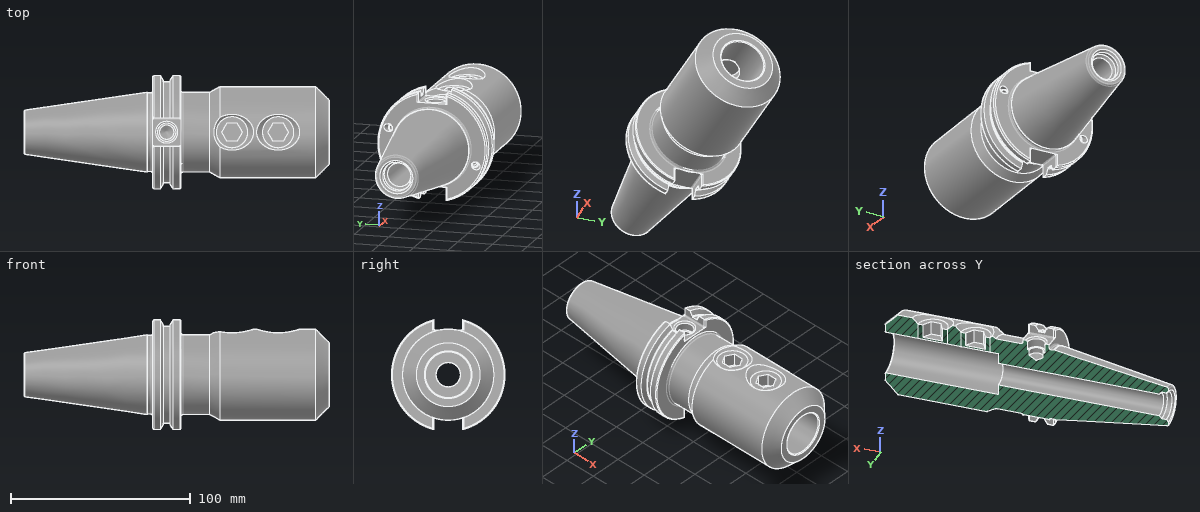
import cadquery as cq
import math

LENGTH = 169.8

GAUGE_DIAMETER = 44.5
TAPER_RATE = 7 / 24
TAPER_END_X = 68.3
SMALL_END_DIAMETER = GAUGE_DIAMETER - TAPER_RATE * TAPER_END_X
SMALL_END_ROUND = 1.0
RELIEF_DIAMETER = 44.0
RELIEF_START_X = 68.8

FLANGE_DIAMETER = 63.2
FLANGE_START_X = 71.3
FLANGE_WIDTH = 16.0
FLANGE_END_X = FLANGE_START_X + FLANGE_WIDTH
FLANGE_CENTRE_X = FLANGE_START_X + FLANGE_WIDTH / 2
FLANGE_FRONT_CHAMFER = 0.8
FLANGE_BACK_CHAMFER = 0.5
GROOVE_DIAMETER = 56.4
GROOVE_WALL = 0.7
GROOVE_MOUTH_WIDTH = 7.1
GROOVE_FLOOR_WIDTH = 3.5
FRONT_ROOT_FILLET = 0.7
BACK_ROOT_FILLET = 1.0

SLOT_WIDTH = 16.0
TOP_SLOT_FLOOR = 25.0
BOTTOM_SLOT_FLOOR = 22.8
SLOT_CORNER_FILLET = 0.5
SLOT_EDGE_CHAMFER = 0.7

KEY_HOLE_DIAMETER = 10.2
KEY_HOLE_DEPTH = 5.8
KEY_MOUTH_DIAMETER = 12.2
KEY_MOUTH_DEPTH = 0.8
KEY_DRILL_DIAMETER = 8.0
KEY_DRILL_DEPTH = 3.4
KEY_DRILL_POINT_ANGLE = 118.0

NECK_DIAMETER = 44.5
NECK_END_X = 103.3
NOSE_DIAMETER = 50.8
NOSE_START_X = 108.9
NOSE_CHAMFER = 7.6

THREAD_BORE_DIAMETER = 13.5
PILOT_DIAMETER = 16.5
PILOT_MOUTH_DIAMETER = 19.0
PILOT_END_X = 4.0
TOOL_BORE_DIAMETER = 25.5
TOOL_BORE_MOUTH_DIAMETER = 26.5
TOOL_BORE_START_X = 101.9

CLAMP_DIAMETER = 17.3
CLAMP_TOP_Z = 22.0
CLAMP_BOTTOM_Z = TOOL_BORE_DIAMETER / 2
FIRST_CLAMP_X = 115.7
CLAMP_SPACING = 25.6
CLAMP_XS = [FIRST_CLAMP_X, FIRST_CLAMP_X + CLAMP_SPACING]
CLAMP_HEX_FLATS = 10.0
CLAMP_HEX_DEPTH = 7.8
COUNTERSINK_HEIGHT = 5.1

PLUG_DIAMETER = 4.2
PLUG_LENGTH = 5.1
PLUG_RECESS = 2.5
PLUG_SOCKET_DIAMETER = 3.2
PLUG_SOCKET_DEPTH = 2.5
PLUG_CIRCLE_RADIUS = 27.0
PLUG_SLANT = 30.0
PLUG_ANGLES = [20.0, 200.0]


def cone(base_radius, top_radius, height, base, direction):
    """A truncated cone from its base centre along a direction."""
    return cq.Workplane(cq.Solid.makeCone(base_radius, top_radius, height, base, direction))


def cylinder(radius, height, base, direction):
    """A cylinder from its base centre along a direction."""
    return cq.Workplane(cq.Solid.makeCylinder(radius, height, base, direction))


def make_turned_body():
    """The solid of revolution: taper, flange, neck and nose."""
    relief_radius = RELIEF_DIAMETER / 2
    flange_radius = FLANGE_DIAMETER / 2
    groove_radius = GROOVE_DIAMETER / 2
    groove_knee_radius = groove_radius + GROOVE_WALL
    mouth_half = GROOVE_MOUTH_WIDTH / 2
    floor_half = GROOVE_FLOOR_WIDTH / 2
    neck_radius = NECK_DIAMETER / 2
    nose_radius = NOSE_DIAMETER / 2
    body = (
        cq.Workplane("XY")
        .moveTo(0, 0)
        .lineTo(0, SMALL_END_DIAMETER / 2)
        .lineTo(TAPER_END_X, GAUGE_DIAMETER / 2)
        .lineTo(RELIEF_START_X, relief_radius)
        .lineTo(FLANGE_START_X - FRONT_ROOT_FILLET, relief_radius)
        .radiusArc((FLANGE_START_X, relief_radius + FRONT_ROOT_FILLET), -FRONT_ROOT_FILLET)
        .lineTo(FLANGE_START_X, flange_radius - FLANGE_FRONT_CHAMFER)
        .lineTo(FLANGE_START_X + FLANGE_FRONT_CHAMFER, flange_radius)
        .lineTo(FLANGE_CENTRE_X - mouth_half, flange_radius)
        .lineTo(FLANGE_CENTRE_X - floor_half, groove_knee_radius)
        .lineTo(FLANGE_CENTRE_X - floor_half, groove_radius)
        .lineTo(FLANGE_CENTRE_X + floor_half, groove_radius)
        .lineTo(FLANGE_CENTRE_X + floor_half, groove_knee_radius)
        .lineTo(FLANGE_CENTRE_X + mouth_half, flange_radius)
        .lineTo(FLANGE_END_X - FLANGE_BACK_CHAMFER, flange_radius)
        .lineTo(FLANGE_END_X, flange_radius - FLANGE_BACK_CHAMFER)
        .lineTo(FLANGE_END_X, neck_radius + BACK_ROOT_FILLET)
        .radiusArc((FLANGE_END_X + BACK_ROOT_FILLET, neck_radius), -BACK_ROOT_FILLET)
        .lineTo(NECK_END_X, neck_radius)
        .lineTo(NOSE_START_X, nose_radius)
        .lineTo(LENGTH - NOSE_CHAMFER, nose_radius)
        .lineTo(LENGTH, nose_radius - NOSE_CHAMFER)
        .lineTo(LENGTH, 0)
        .close()
        .revolve(360, (0, 0, 0), (1, 0, 0))
    )
    return body.faces("<X").edges().fillet(SMALL_END_ROUND)


def make_axial_bore():
    """The stepped bore through the whole length."""
    thread_radius = THREAD_BORE_DIAMETER / 2
    pilot_radius = PILOT_DIAMETER / 2
    pilot_mouth_radius = PILOT_MOUTH_DIAMETER / 2
    tool_radius = TOOL_BORE_DIAMETER / 2
    tool_mouth_radius = TOOL_BORE_MOUTH_DIAMETER / 2
    return (
        cq.Workplane("XY")
        .moveTo(0, 0)
        .lineTo(0, pilot_mouth_radius)
        .lineTo(pilot_mouth_radius - pilot_radius, pilot_radius)
        .lineTo(PILOT_END_X, pilot_radius)
        .lineTo(PILOT_END_X + pilot_radius - thread_radius, thread_radius)
        .lineTo(TOOL_BORE_START_X, thread_radius)
        .lineTo(TOOL_BORE_START_X, tool_radius)
        .lineTo(LENGTH - tool_mouth_radius + tool_radius, tool_radius)
        .lineTo(LENGTH, tool_mouth_radius)
        .lineTo(LENGTH, 0)
        .close()
        .revolve(360, (0, 0, 0), (1, 0, 0))
    )


def make_drive_slot(floor, side):
    """The space of one drive slot; side is +1 for +Z and -1 for -Z."""
    height = FLANGE_DIAMETER / 2 - floor
    middle_z = side * (floor + height / 2)
    floor_face = "<Z" if side > 0 else ">Z"
    slot = cq.Workplane("XY").box(FLANGE_WIDTH, SLOT_WIDTH, height)
    slot = slot.faces(floor_face).edges("|X").fillet(SLOT_CORNER_FILLET)
    slot = slot.translate((FLANGE_CENTRE_X, 0, middle_z))
    half_width = SLOT_WIDTH / 2
    for face_x, inward in [(FLANGE_START_X, 1), (FLANGE_END_X, -1)]:
        flare_end_x = face_x + inward * SLOT_EDGE_CHAMFER
        flare = (
            cq.Workplane("XY", origin=(0, 0, middle_z - height / 2))
            .moveTo(face_x, -half_width - SLOT_EDGE_CHAMFER)
            .lineTo(face_x, half_width + SLOT_EDGE_CHAMFER)
            .lineTo(flare_end_x, half_width)
            .lineTo(flare_end_x, -half_width)
            .close()
            .extrude(height)
        )
        slot = slot.union(flare)
    return slot


def make_key_hole():
    """The chamfered, stepped hole with a drill point in the top slot floor."""
    radius = KEY_HOLE_DIAMETER / 2
    drill_radius = KEY_DRILL_DIAMETER / 2
    step_z = TOP_SLOT_FLOOR - KEY_HOLE_DEPTH
    drill_end_z = step_z - KEY_DRILL_DEPTH
    point_height = drill_radius / math.tan(math.radians(KEY_DRILL_POINT_ANGLE / 2))
    profile = (
        cq.Workplane("XZ", origin=(FLANGE_CENTRE_X, 0, 0))
        .moveTo(0, TOP_SLOT_FLOOR)
        .lineTo(KEY_MOUTH_DIAMETER / 2, TOP_SLOT_FLOOR)
        .lineTo(radius, TOP_SLOT_FLOOR - KEY_MOUTH_DEPTH)
        .lineTo(radius, step_z)
        .lineTo(drill_radius, step_z)
        .lineTo(drill_radius, drill_end_z)
        .lineTo(0, drill_end_z - point_height)
        .close()
    )
    return profile.revolve(360, (0, 0, 0), (0, 1, 0))


def make_clamp_hole(x):
    """One clamping-screw hole: 45 degree countersink over a plain hole into the bore."""
    radius = CLAMP_DIAMETER / 2
    up = cq.Vector(0, 0, 1)
    hole = cylinder(radius, CLAMP_TOP_Z, cq.Vector(x, 0, 0), up)
    countersink = cone(radius, radius + COUNTERSINK_HEIGHT, COUNTERSINK_HEIGHT,
                       cq.Vector(x, 0, CLAMP_TOP_Z), up)
    return hole.union(countersink)


def make_clamp_screw(x):
    """One headless clamping screw with a hexagon socket."""
    screw = cylinder(CLAMP_DIAMETER / 2, CLAMP_TOP_Z - CLAMP_BOTTOM_Z,
                     cq.Vector(x, 0, CLAMP_BOTTOM_Z), cq.Vector(0, 0, 1))
    hex_corners = CLAMP_HEX_FLATS / math.cos(math.radians(30))
    socket = (
        cq.Workplane("XY", origin=(x, 0, CLAMP_TOP_Z))
        .polygon(6, hex_corners)
        .extrude(-CLAMP_HEX_DEPTH)
    )
    return screw.cut(socket)


def plug_mouth(angle):
    """Where the axis of a plug hole meets the front face of the flange."""
    turn = math.radians(angle)
    return cq.Vector(FLANGE_START_X, PLUG_CIRCLE_RADIUS * math.cos(turn), PLUG_CIRCLE_RADIUS * math.sin(turn))


def plug_direction(angle):
    """The direction of a plug hole, into the flange and towards the X axis."""
    turn = math.radians(angle)
    slant = math.radians(PLUG_SLANT)
    inward = math.sin(slant)
    return cq.Vector(math.cos(slant), -inward * math.cos(turn), -inward * math.sin(turn))


def make_plug_hole(angle):
    """One slanted blind hole; it starts before the face so that the whole mouth is open."""
    direction = plug_direction(angle)
    start = plug_mouth(angle) - direction * PLUG_DIAMETER
    return cylinder(PLUG_DIAMETER / 2, PLUG_DIAMETER + PLUG_RECESS + PLUG_LENGTH, start, direction)


def make_plug(angle):
    """One plug, set back in its hole, with a round socket in its outer end."""
    direction = plug_direction(angle)
    outer_end = plug_mouth(angle) + direction * PLUG_RECESS
    plug = cylinder(PLUG_DIAMETER / 2, PLUG_LENGTH, outer_end, direction)
    return plug.cut(cylinder(PLUG_SOCKET_DIAMETER / 2, PLUG_SOCKET_DEPTH, outer_end, direction))


def make_holder():
    """The tool holder with all its bores, slots and screw holes."""
    holder = make_turned_body()
    holder = holder.cut(make_drive_slot(TOP_SLOT_FLOOR, 1))
    holder = holder.cut(make_drive_slot(BOTTOM_SLOT_FLOOR, -1))
    holder = holder.cut(make_key_hole())
    holder = holder.cut(make_axial_bore())
    for x in CLAMP_XS:
        holder = holder.cut(make_clamp_hole(x))
    for angle in PLUG_ANGLES:
        holder = holder.cut(make_plug_hole(angle))
    return holder


holder = make_holder()
clamp_screws = [make_clamp_screw(x) for x in CLAMP_XS]
coolant_plugs = [make_plug(angle) for angle in PLUG_ANGLES]

result = cq.Compound.makeCompound([
    holder.val(),
    *[screw.val() for screw in clamp_screws],
    *[plug.val() for plug in coolant_plugs],
])